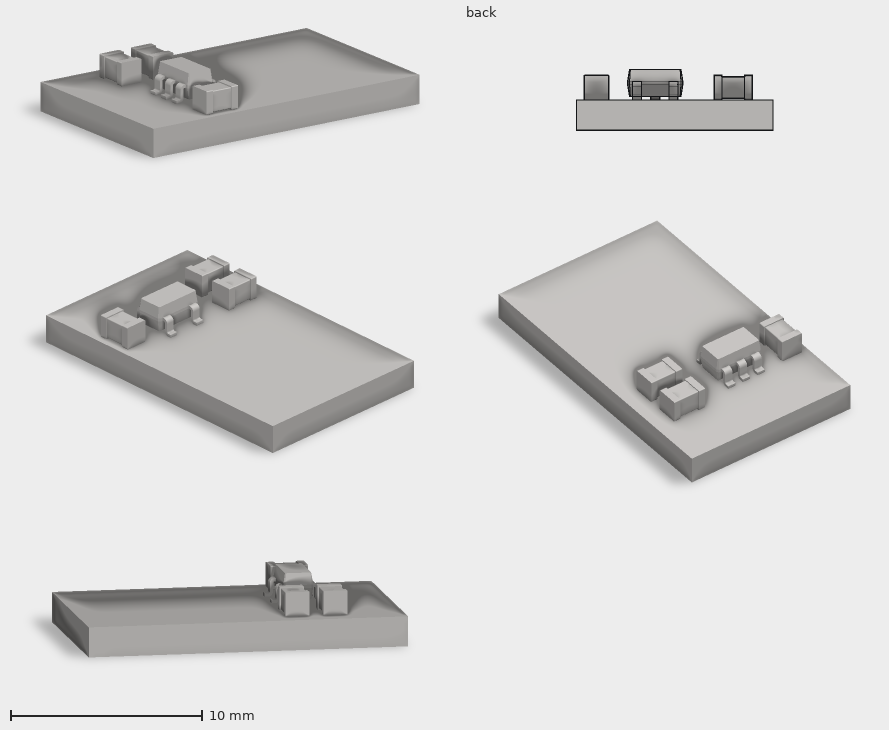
import cadquery as cq
import math

board_width = 10.3
board_length = 17.0
board_thickness = 1.6

cap_length = 2.0
cap_side = 1.3
terminal_length = 0.4
cap_edge_radius = 0.05
ceramic_inset = 0.07
cap_placements = [
    (-3.06, -2.82, 0),
    (-3.06, -4.85, 0),
    (4.1, -3.8, 90),
]

chip_x = 1.02
chip_y = -3.57
chip_height = 1.6
case_length = 2.89
case_width = 1.6
case_standoff = 0.17
case_corner_chamfer = 0.1
case_draft_inset = 0.1
lead_thickness = 0.17
lead_width = 0.48
lead_pitch = 0.95
lead_span = 2.79
lead_bend_radius = 0.08
lead_foot_flat = 0.19
lead_embed = 0.17

half_case_height = (chip_height - case_standoff - lead_thickness) / 2
band_bottom = case_standoff + half_case_height
band_top = band_bottom + lead_thickness
case_draft_angle = math.degrees(math.atan(case_draft_inset / half_case_height))


def make_board():
    return cq.Workplane("XY").box(
        board_width, board_length, board_thickness, centered=(True, True, False)
    )


def make_rounded_bar(length, side):
    """Square bar along X, centred on the origin, with its four long edges rounded."""
    return cq.Workplane("XY").box(length, side, side).edges("|X").fillet(cap_edge_radius)


def make_capacitor():
    """Capacitor along X, standing on Z = 0: a ceramic middle between two end terminals."""
    terminal_offset = (cap_length - terminal_length) / 2
    capacitor = make_rounded_bar(2 * terminal_offset, cap_side - 2 * ceramic_inset)
    terminal = make_rounded_bar(terminal_length, cap_side)
    for side in (-1, 1):
        capacitor = capacitor.union(terminal.translate((side * terminal_offset, 0, 0)))
    return capacitor.translate((0, 0, cap_side / 2))


def make_case():
    """Moulding with a straight parting band and drafted halves above and below it."""
    outline = cq.Sketch().rect(case_length, case_width).vertices().chamfer(case_corner_chamfer)
    band = cq.Workplane("XY").workplane(offset=band_bottom).placeSketch(outline).extrude(lead_thickness)
    upper = (
        cq.Workplane("XY")
        .workplane(offset=band_top)
        .placeSketch(outline)
        .extrude(half_case_height, taper=case_draft_angle)
    )
    lower = upper.mirror("XY", (0, 0, (band_bottom + band_top) / 2))
    return band.union(upper).union(lower)


def make_lead():
    """Gull-wing lead at X = 0, running from inside the case towards -Y."""
    inner = lead_bend_radius
    outer = lead_bend_radius + lead_thickness
    tip = -lead_span / 2
    shank_front = tip + lead_foot_flat + inner
    shank_back = shank_front + lead_thickness
    root = -case_width / 2 + lead_embed
    return (
        cq.Workplane("YZ")
        .moveTo(root, band_top)
        .lineTo(shank_front + outer, band_top)
        .radiusArc((shank_front, band_top - outer), -outer)
        .lineTo(shank_front, lead_thickness + inner)
        .radiusArc((shank_front - inner, lead_thickness), inner)
        .lineTo(tip, lead_thickness)
        .lineTo(tip, 0)
        .lineTo(shank_back - outer, 0)
        .radiusArc((shank_back, outer), -outer)
        .lineTo(shank_back, band_bottom - inner)
        .radiusArc((shank_back + inner, band_bottom), inner)
        .lineTo(root, band_bottom)
        .close()
        .extrude(lead_width / 2, both=True)
    )


def make_chip():
    """Case and leads as one solid: three leads on the -Y side, two on the +Y side."""
    chip = make_case()
    front_lead = make_lead()
    back_lead = front_lead.mirror("XZ")
    for position in (-1, 0, 1):
        chip = chip.union(front_lead.translate((position * lead_pitch, 0, 0)))
    for position in (-1, 1):
        chip = chip.union(back_lead.translate((position * lead_pitch, 0, 0)))
    return chip


board = make_board()

capacitors = [
    make_capacitor().rotate((0, 0, 0), (0, 0, 1), turn).translate((x, y, board_thickness))
    for x, y, turn in cap_placements
]

chip = make_chip().translate((chip_x, chip_y, board_thickness))

result = cq.Compound.makeCompound(
    [board.val(), *[capacitor.val() for capacitor in capacitors], chip.val()]
)